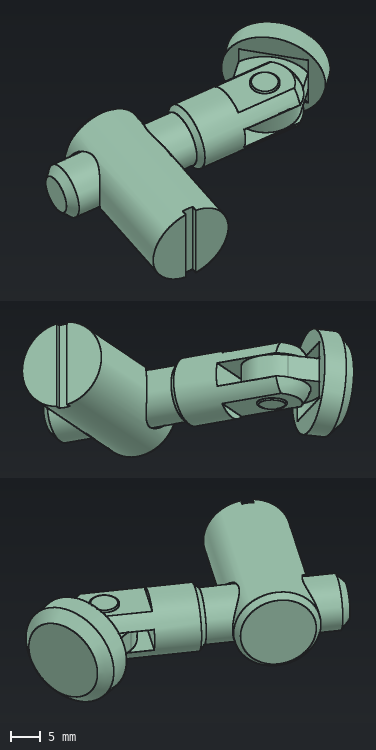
import cadquery as cq
import math


barrel_diameter = 15.0
barrel_start = -7.05
barrel_end = 22.05
barrel_chamfer = 1.0
cross_hole_diameter = 10.2
driver_slot_width = 2.0
driver_slot_depth = 1.0

rod_diameter = 9.75
rod_start = -13.0
rod_chamfer = 1.55
collar_start = 11.95
collar_diameter = 11.8
collar_chamfer = 1.0
fork_start = 21.0
fork_width = 11.0
fork_thickness = 9.2
fork_tip_radius = 6.9
fork_gap = 4.15

pin_y = 28.55
pin_diameter = 5.1
pin_length = 9.7
pin_chamfer = 0.3

pad_angle = 45
pad_diameter = 18.0
pad_thickness = 5.8
pad_chamfer = 2.0
pad_offset = 6.45
tongue_width = 12.0
tongue_end_center = 0.8
relief_height = 10.1


def cylinder_along_y(diameter, start, end):
    return cq.Workplane("XZ", origin=(0, start, 0)).circle(diameter / 2).extrude(start - end)


def cylinder_along_z(diameter, height, y=0):
    return cq.Workplane("XY").center(0, y).circle(diameter / 2).extrude(height / 2, both=True)


def make_barrel():
    barrel = (
        cq.Workplane("YZ", origin=(barrel_start, 0, 0))
        .circle(barrel_diameter / 2)
        .extrude(barrel_end - barrel_start)
        .faces("<X")
        .chamfer(barrel_chamfer)
    )
    cross_hole = cylinder_along_y(cross_hole_diameter, -barrel_diameter, barrel_diameter)
    driver_slot = cq.Workplane("XY").box(
        2 * driver_slot_depth, driver_slot_width, barrel_diameter
    ).translate((barrel_end, 0, 0))
    return barrel.cut(cross_hole).cut(driver_slot)


def make_forked_rod():
    rod = cylinder_along_y(rod_diameter, rod_start, collar_start).faces("<Y").chamfer(rod_chamfer)
    collar = cylinder_along_y(collar_diameter, collar_start, fork_start)
    collar = collar.faces("<Y").chamfer(collar_chamfer)

    fork_end = pin_y + fork_tip_radius
    fork_length = fork_end - fork_start
    flats = cq.Workplane("XY").box(fork_width, fork_length, fork_thickness)
    flats = flats.translate((0, (fork_start + fork_end) / 2, 0))
    tip_sphere = cq.Workplane("XY").sphere(fork_tip_radius).translate((0, pin_y, 0))
    tip_envelope = cylinder_along_y(collar_diameter, fork_start, pin_y).union(tip_sphere)
    fork = cylinder_along_y(collar_diameter, fork_start, fork_end)
    fork = fork.intersect(flats).intersect(tip_envelope)

    gap = cq.Workplane("XY").box(collar_diameter, fork_length, fork_gap)
    gap = gap.translate((0, (fork_start + fork_end) / 2, 0))
    pin_hole = cylinder_along_z(pin_diameter, fork_thickness, pin_y)
    return rod.union(collar).union(fork.cut(gap).cut(pin_hole))


def make_hinge_pin():
    pin = cylinder_along_z(pin_diameter, pin_length, pin_y)
    return pin.faces("<Z or >Z").chamfer(pin_chamfer)


def make_swivel_pad():
    pad = cylinder_along_y(pad_diameter, pad_offset, pad_offset + pad_thickness)
    pad = pad.faces(">Y").chamfer(pad_chamfer)

    relief_radius = math.hypot(pad_offset, tongue_width / 2)
    pad = pad.cut(cylinder_along_z(2 * relief_radius, relief_height))

    tongue_end = pad_offset + pad_thickness / 2
    tongue = (
        cq.Workplane("XY")
        .moveTo(-tongue_width / 2, tongue_end)
        .lineTo(-tongue_width / 2, tongue_end_center)
        .threePointArc(
            (0, tongue_end_center - tongue_width / 2),
            (tongue_width / 2, tongue_end_center),
        )
        .lineTo(tongue_width / 2, tongue_end)
        .close()
        .extrude(fork_gap / 2, both=True)
    )
    pin_hole = cylinder_along_z(pin_diameter, fork_gap)
    pad = pad.union(tongue).cut(pin_hole)
    return pad.rotate((0, 0, 0), (0, 0, 1), pad_angle).translate((0, pin_y, 0))


barrel = make_barrel()
forked_rod = make_forked_rod()
hinge_pin = make_hinge_pin()
swivel_pad = make_swivel_pad()

result = cq.Compound.makeCompound(
    [barrel.val(), forked_rod.val(), hinge_pin.val(), swivel_pad.val()]
)